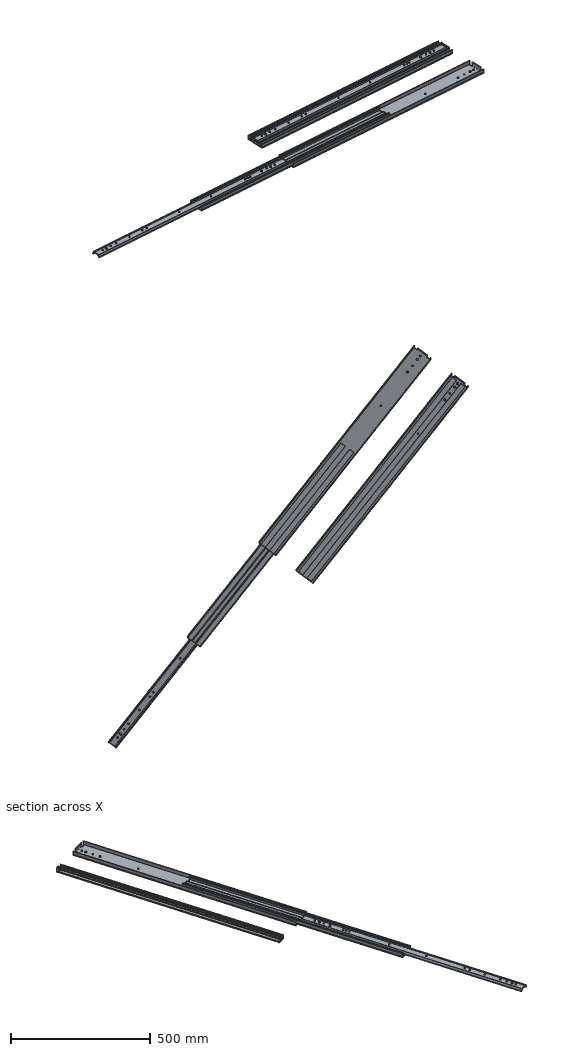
import cadquery as cq


slide_spacing = 168.0
height = 20.0
sheet = 2.2

outer_length = 915.0
outer_width = 77.0
outer_wall_top = 6.2
stop_width = 44.0
stop_top = 8.5
stop_bend_radius = 2.7
relief_depth = 4.0

member_length = 905.0
middle_width = 59.0
middle_top = 8.5
lip_opening = 44.0
rib_base_half_width = 9.7
rib_crest_half_width = 6.4
rib_rise = 5.0

inner_sheet = 3.1
inner_top_half_width = 14.3
inner_foot_half_width = 18.0
inner_depth = 10.8

middle_closed = 2.0
middle_open = -433.0
inner_closed = 0.0
inner_open = -915.0

small_hole = 5.1
large_hole = 7.1
outer_small_holes = [668.0, 854.0]
outer_large_holes = [825.0, 883.0, 900.0]
inner_small_holes = [33.0, 71.0, 97.0, 161.0, 223.0, 243.0, 400.0, 552.0, 717.0, 730.0, 740.0, 821.0, 858.0]
inner_large_holes = [795.0, 840.0]
cross_slot_place = 50.0
cross_slot_length = 11.0

top = height / 2
bottom = -height / 2
outer_floor = bottom + sheet
middle_floor = outer_floor + sheet
outer_inside_width = outer_width - 2 * sheet


def mirrored(half_outline):
    """Complete a half outline at +X with its mirror image at -X."""
    return half_outline + [(-x, z) for x, z in reversed(half_outline)]


def along_y(outline, length):
    """Extrude an XZ outline from Y = 0 to Y = length."""
    return cq.Workplane("XZ").polyline(outline).close().extrude(-length)


def hole_cutters(places, diameter):
    """Vertical drills on the centre line, through the full height."""
    centres = [(0, y) for y in places]
    return cq.Workplane("XY", origin=(0, 0, bottom)).pushPoints(centres).circle(diameter / 2).extrude(height)


def make_stop():
    """Stop plate at the rear end with the rounded bend that joins it to the web."""
    front_face = outer_length - sheet
    bend_top = outer_floor + stop_bend_radius
    profile = (
        cq.Workplane("YZ", origin=(-stop_width / 2, 0, 0))
        .moveTo(front_face - stop_bend_radius, bottom)
        .lineTo(outer_length, bottom)
        .lineTo(outer_length, stop_top)
        .lineTo(front_face, stop_top)
        .lineTo(front_face, bend_top)
        .radiusArc((front_face - stop_bend_radius, outer_floor), stop_bend_radius)
        .close()
    )
    return profile.extrude(stop_width)


def make_outer():
    half_width = outer_width / 2
    half_inside = outer_inside_width / 2
    channel = along_y(
        mirrored([
            (half_inside, outer_floor),
            (half_inside, outer_wall_top),
            (half_width, outer_wall_top),
            (half_width, bottom),
        ]),
        outer_length,
    )
    relief = cq.Workplane("XY").box(outer_inside_width, relief_depth, height).translate(
        (0, outer_length - relief_depth / 2, 0)
    )
    return (
        channel.cut(relief)
        .union(make_stop())
        .cut(hole_cutters(outer_small_holes, small_hole))
        .cut(hole_cutters(outer_large_holes, large_hole))
    )


def make_middle():
    half_width = middle_width / 2
    half_inside = half_width - sheet
    half_opening = lip_opening / 2
    lip_underside = middle_top - sheet
    return along_y(
        mirrored([
            (rib_crest_half_width, middle_floor + rib_rise),
            (rib_base_half_width, middle_floor),
            (half_inside, middle_floor),
            (half_inside, lip_underside),
            (half_opening, lip_underside),
            (half_opening, middle_top),
            (half_width, middle_top),
            (half_width, outer_floor),
            (rib_base_half_width, outer_floor),
            (rib_crest_half_width, outer_floor + rib_rise),
        ]),
        member_length,
    )


def make_inner():
    foot = top - inner_depth
    channel = along_y(
        mirrored([
            (inner_top_half_width, top),
            (inner_foot_half_width, foot),
            (inner_foot_half_width - inner_sheet, foot),
            (inner_top_half_width - inner_sheet, top - inner_sheet),
        ]),
        member_length,
    )
    cross_slot = (
        cq.Workplane("XY", origin=(0, cross_slot_place, bottom))
        .slot2D(cross_slot_length, small_hole)
        .extrude(height)
    )
    return (
        channel.cut(hole_cutters(inner_small_holes, small_hole))
        .cut(hole_cutters(inner_large_holes, large_hole))
        .cut(cross_slot)
    )


def place_slide(x, middle_start, inner_start):
    """The three separate members of one slide, with the middle and inner members drawn out along Y."""
    return [
        make_outer().translate((x, 0, 0)).val(),
        make_middle().translate((x, middle_start, 0)).val(),
        make_inner().translate((x, inner_start, 0)).val(),
    ]


closed_slide = place_slide(-slide_spacing / 2, middle_closed, inner_closed)
open_slide = place_slide(slide_spacing / 2, middle_open, inner_open)

result = cq.Compound.makeCompound(closed_slide + open_slide)